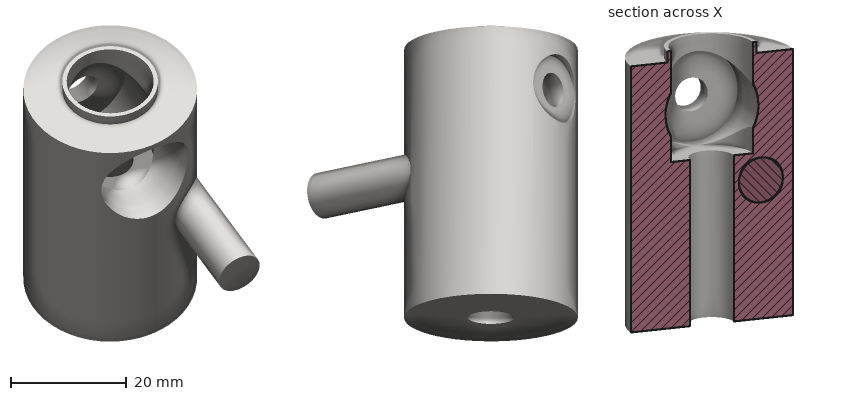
import cadquery as cq

housing_diameter = 30
total_height = 50
collar_height = 2
collar_diameter = 16.5
shoulder_height = total_height - collar_height

upper_bore_diameter = 15
lower_bore_diameter = 8

cross_height = 38.5
cross_bore_diameter = 17
cross_bore_end_x = -10
cross_hole_diameter = 6
counterbore_diameter = 12
counterbore_floor_x = -13.5

upper_bore_floor = cross_height - cross_bore_diameter / 2

pin_diameter = 8
pin_offset_y = 9
pin_height = 25
pin_inner_x = 0
pin_outer_x = 30


def x_cylinder(diameter, start_x, end_x, y, z):
    """Cylinder parallel to X between two X positions."""
    return (
        cq.Workplane("YZ", origin=(start_x, y, z))
        .circle(diameter / 2)
        .extrude(end_x - start_x)
    )


def make_pin():
    return x_cylinder(pin_diameter, pin_inner_x, pin_outer_x, pin_offset_y, pin_height)


def make_vertical_passages():
    lower_bore = cq.Workplane("XY").circle(lower_bore_diameter / 2).extrude(total_height)
    upper_bore = (
        cq.Workplane("XY", origin=(0, 0, upper_bore_floor))
        .circle(upper_bore_diameter / 2)
        .extrude(total_height - upper_bore_floor)
    )
    return lower_bore.union(upper_bore)


def make_cross_passage():
    side_x = housing_diameter / 2
    large_bore = x_cylinder(cross_bore_diameter, cross_bore_end_x, side_x, 0, cross_height)
    small_hole = x_cylinder(cross_hole_diameter, -side_x, cross_bore_end_x, 0, cross_height)
    counterbore = x_cylinder(counterbore_diameter, -side_x, counterbore_floor_x, 0, cross_height)
    return large_bore.union(small_hole).union(counterbore)


def make_housing():
    barrel = cq.Workplane("XY").circle(housing_diameter / 2).extrude(shoulder_height)
    collar = cq.Workplane("XY").circle(collar_diameter / 2).extrude(total_height)
    return (
        barrel.union(collar)
        .cut(make_vertical_passages())
        .cut(make_cross_passage())
        .cut(make_pin())
    )


housing = make_housing()
pin = make_pin()

result = cq.Compound.makeCompound([housing.val(), pin.val()])